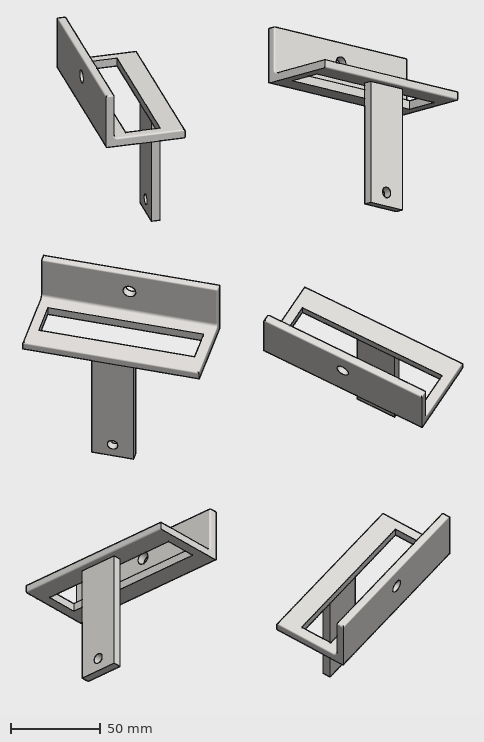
import cadquery as cq

length = 102.0
depth = 46.0
total_height = 102.0
thickness = 5.0
bracket_height = 32.0
edge_radius = 1.0
inner_corner_radius = 2.0

slot_length = 90.0
slot_width = 20.0
slot_back_margin = 13.0

tab_width = 24.3
tab_back_margin = 3.9
tab_height = total_height - bracket_height

wall_hole_diameter = 7.3
wall_hole_from_top = 12.1
tab_hole_diameter = 6.0
tab_hole_from_end = 8.0

slot_center_y = depth - slot_back_margin - slot_width / 2
tab_center_y = depth - tab_back_margin - thickness / 2


def make_angle():
    """L-shaped body with a rounded inner corner and softened outer edges."""
    angle = (
        cq.Workplane("YZ")
        .polyline([
            (0, 0),
            (depth, 0),
            (depth, thickness),
            (thickness, thickness),
            (thickness, bracket_height),
            (0, bracket_height),
        ])
        .close()
        .extrude(length / 2, both=True)
    )
    inner_corner = cq.selectors.NearestToPointSelector((0, thickness, thickness))
    angle = angle.edges(inner_corner).fillet(inner_corner_radius)

    long_edges = angle.edges("|X").edges("<Y or >Y or >Z")
    end_edges = angle.faces("<X or >X").edges("not(<Y or >Y or <Z)")
    return angle.newObject(long_edges.vals() + end_edges.vals()).fillet(edge_radius)


def make_tab():
    return (
        cq.Workplane("XY")
        .center(0, tab_center_y)
        .rect(tab_width, thickness)
        .extrude(-tab_height)
    )


def make_slot():
    return (
        cq.Workplane("XY")
        .center(0, slot_center_y)
        .rect(slot_length, slot_width)
        .extrude(thickness)
    )


def make_hole(diameter, height):
    """Cutter along Y through the full depth at the given height."""
    return cq.Workplane("XZ").center(0, height).circle(diameter / 2).extrude(-depth)


result = (
    make_angle()
    .union(make_tab())
    .cut(make_slot())
    .cut(make_hole(wall_hole_diameter, bracket_height - wall_hole_from_top))
    .cut(make_hole(tab_hole_diameter, tab_hole_from_end - tab_height))
)